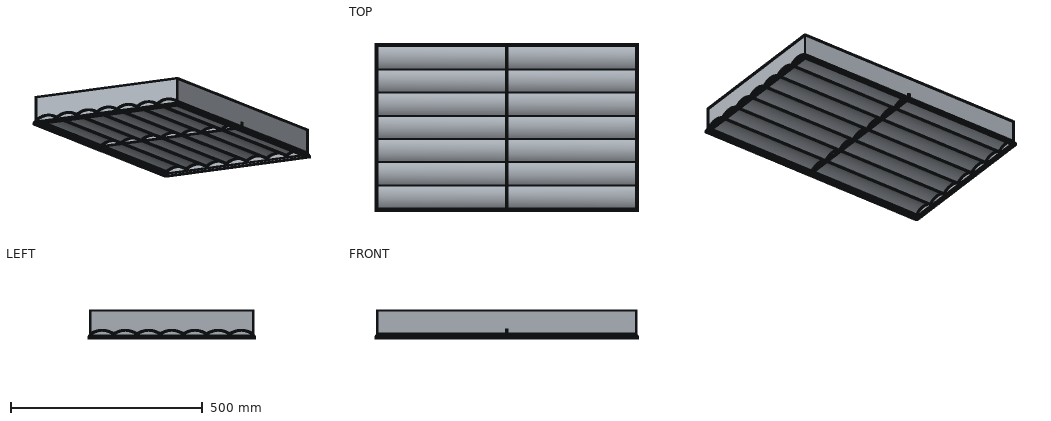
import cadquery as cq
import math

FLANGE_LENGTH = 685.0
FLANGE_WIDTH = 435.0
TOTAL_HEIGHT = 73.0
FLANGE_REACH = 4.0
WALL = 2.0

LIP_HEIGHT = 2.0
FLANGE_HEIGHT = 7.0
SHOULDER_ANGLE = 30.0

ARCH_COUNT = 7
ARCH_RADIUS = 52.8
SHEET = 2.0
CREST_HEIGHT = 22.0

BAR_THICKNESS = 5.0
BAR_ABOVE_CREST = 1.0

BODY_LENGTH = FLANGE_LENGTH - 2 * FLANGE_REACH
BODY_WIDTH = FLANGE_WIDTH - 2 * FLANGE_REACH
INNER_LENGTH = BODY_LENGTH - 2 * WALL
INNER_WIDTH = BODY_WIDTH - 2 * WALL
ARCH_PITCH = INNER_WIDTH / ARCH_COUNT
ARCH_AXIS_HEIGHT = CREST_HEIGHT - ARCH_RADIUS
INNER_RADIUS = ARCH_RADIUS - SHEET


def arch_height(radius, offset):
    """Height of an arch surface at a sideways offset from its crest."""
    return ARCH_AXIS_HEIGHT + math.sqrt(radius**2 - offset**2)


def make_frame():
    """Four thin walls standing on the flange."""
    shoulder_height = FLANGE_HEIGHT - LIP_HEIGHT
    lip = cq.Workplane("XY").rect(FLANGE_LENGTH, FLANGE_WIDTH).extrude(LIP_HEIGHT)
    shoulder = (
        cq.Workplane("XY", origin=(0, 0, LIP_HEIGHT))
        .rect(FLANGE_LENGTH, FLANGE_WIDTH)
        .extrude(shoulder_height, taper=SHOULDER_ANGLE)
    )
    body = cq.Workplane("XY").rect(BODY_LENGTH, BODY_WIDTH).extrude(TOTAL_HEIGHT)
    opening = cq.Workplane("XY").rect(INNER_LENGTH, INNER_WIDTH).extrude(TOTAL_HEIGHT)
    return lip.union(shoulder).union(body).cut(opening)


def make_arches():
    """Curved sheets side by side, filling the opening from wall to wall."""
    half = ARCH_PITCH / 2
    outer_edge = arch_height(ARCH_RADIUS, half)
    inner_edge = arch_height(INNER_RADIUS, half)
    inner_crest = CREST_HEIGHT - SHEET
    crests = [(index + 0.5) * ARCH_PITCH - INNER_WIDTH / 2 for index in range(ARCH_COUNT)]

    profile = cq.Workplane("YZ", origin=(-INNER_LENGTH / 2, 0, 0))
    profile = profile.moveTo(-INNER_WIDTH / 2, outer_edge)
    for crest in crests:
        profile = profile.threePointArc((crest, CREST_HEIGHT), (crest + half, outer_edge))
    profile = profile.lineTo(INNER_WIDTH / 2, inner_edge)
    for crest in reversed(crests):
        profile = profile.threePointArc((crest, inner_crest), (crest - half, inner_edge))
    return profile.close().extrude(INNER_LENGTH)


def make_crossbar():
    """Flat bar across the arches, reaching down to the valleys between them."""
    base = arch_height(INNER_RADIUS, ARCH_PITCH / 2)
    height = CREST_HEIGHT + BAR_ABOVE_CREST - base
    return (
        cq.Workplane("XY", origin=(0, 0, base))
        .rect(BAR_THICKNESS, INNER_WIDTH)
        .extrude(height)
    )


result = make_frame().union(make_arches()).union(make_crossbar())